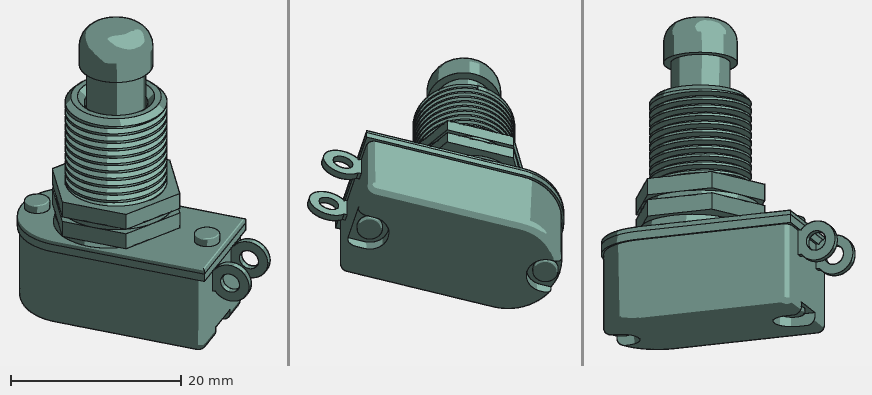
import cadquery as cq
import math

overall_height = 38.0

cover_width = 13.22
cover_left = -12.0
cover_right = 13.8
flange_overhang = 0.25
case_wall_height = 10.0
flange_thickness = 1.0
case_edge_radius = 1.0
cover_thickness = 0.6
cover_edge_radius = 0.23
case_top = case_wall_height + flange_thickness
cover_top = case_top + cover_thickness

rivet_positions = [-10.0, 11.5]
rivet_diameter = 3.0
rivet_head_height = 1.03
rivet_edge_radius = 0.2
rivet_tail_height = 0.6
recess_width = 4.5
recess_depth = 1.5

terminal_offset = 3.0
terminal_thickness = 0.8
terminal_eye_diameter = 4.8
terminal_hole_diameter = 2.4
terminal_neck_width = 3.0
terminal_neck_length = 3.8
terminal_tip = 18.15
terminal_eye_x = terminal_tip - terminal_eye_diameter / 2
terminal_eye_z = case_wall_height - terminal_neck_width / 2

boss_offset = -1.0
boss_height = 1.0
boss_base_diameter = 12.92
boss_top_diameter = 12.45
boss_top = cover_top + boss_height

hex_across_flats = 14.0
hex_across_corners = hex_across_flats / math.cos(math.pi / 6)
hex_thickness = 2.0
washer_face_thickness = 0.6
shoulder_top = boss_top + hex_thickness
nut_hex_bottom = shoulder_top + washer_face_thickness

bushing_diameter = 12.0
bushing_top = 28.65
bushing_chamfer = 0.7
bore_diameter = 7.5
bore_chamfer = 0.8
thread_pitch = bushing_diameter / 12
thread_depth = 0.6
thread_half_angle = math.radians(30)
thread_turns = 11
thread_end_gap = 0.87
thread_start_angle = 90
thread_overcut = 0.1

plunger_diameter = 7.0
cap_diameter = 8.7
cap_height = 5.0
cap_edge_radius = 2.5


def rounded_end_block(left, right, width, bottom, height):
    """Block with a half-round end at -X and a square end at +X."""
    radius = width / 2
    return (
        cq.Workplane("XY", origin=(0, 0, bottom))
        .moveTo(right, -radius)
        .lineTo(left + radius, -radius)
        .threePointArc((left, 0), (left + radius, radius))
        .lineTo(right, radius)
        .close()
        .extrude(height)
    )


def cylinder(diameter, bottom, height, x=0):
    return cq.Workplane("XY", origin=(x, 0, bottom)).circle(diameter / 2).extrude(height)


def hexagon(bottom):
    """Hexagonal block with two corners on the X axis."""
    return cq.Workplane("XY", origin=(0, 0, bottom)).polygon(6, hex_across_corners).extrude(hex_thickness)


def make_terminal(y):
    """Flat eye with a neck that reaches into the case."""
    plane = cq.Workplane("XZ", origin=(terminal_eye_x, y + terminal_thickness / 2, terminal_eye_z))
    eye = plane.circle(terminal_eye_diameter / 2).extrude(terminal_thickness)
    neck_plane = plane.center(-terminal_neck_length / 2, 0)
    neck = neck_plane.rect(terminal_neck_length, terminal_neck_width).extrude(terminal_thickness)
    hole = plane.circle(terminal_hole_diameter / 2).extrude(terminal_thickness)
    return eye.union(neck).cut(hole)


def make_rivet_recess(x, outer_end):
    """Recess under a rivet, round on the inner side and open through the end wall."""
    length = abs(outer_end - x)
    slot = cq.Workplane("XY").center((x + outer_end) / 2, 0).rect(length, recess_width).extrude(recess_depth)
    return slot.union(cylinder(recess_width, 0, recess_depth, x))


def make_case():
    """Case with its flange, rivets and solder terminals."""
    walls = rounded_end_block(
        cover_left + flange_overhang,
        cover_right - flange_overhang,
        cover_width - 2 * flange_overhang,
        0,
        case_wall_height,
    )
    walls = walls.edges("|Z and >X").fillet(case_edge_radius)
    walls = walls.faces("<Z").edges().fillet(case_edge_radius)
    flange = rounded_end_block(cover_left, cover_right, cover_width, case_wall_height, flange_thickness)
    case = walls.union(flange)

    for x, outer_end in zip(rivet_positions, [cover_left, cover_right]):
        case = case.cut(make_rivet_recess(x, outer_end))
        rivet_bottom = recess_depth - rivet_tail_height
        rivet_length = cover_top + rivet_head_height - rivet_bottom
        rivet = cylinder(rivet_diameter, rivet_bottom, rivet_length, x)
        case = case.union(rivet.faces("<Z or >Z").edges().fillet(rivet_edge_radius))

    for y in [-terminal_offset, terminal_offset]:
        case = case.union(make_terminal(y))
    return case


def make_thread_groove():
    """Right-hand helical V groove, cut into the bushing from outside."""
    thread_length = thread_turns * thread_pitch
    bottom = bushing_top - thread_end_gap - thread_length
    radius = bushing_diameter / 2
    outer_radius = radius + thread_overcut
    half_width = (thread_depth + thread_overcut) * math.tan(thread_half_angle)
    helix_start = cq.Vector(0, 0, bottom)
    path = cq.Wire.makeHelix(thread_pitch, thread_length, radius, center=helix_start)
    profile = cq.Workplane("XZ").polyline(
        [
            (radius - thread_depth, bottom),
            (outer_radius, bottom + half_width),
            (outer_radius, bottom - half_width),
        ]
    )
    return profile.close().sweep(cq.Workplane(path), isFrenet=True)


def make_bushing():
    """Threaded tube above the shoulder, turned so that the thread starts on the +Y side."""
    bushing = cylinder(bushing_diameter, shoulder_top, bushing_top - shoulder_top)
    bushing = bushing.faces(">Z").chamfer(bushing_chamfer).cut(make_thread_groove())
    return bushing.rotate((0, 0, 0), (0, 0, 1), thread_start_angle)


def make_cover():
    """Cover plate with its boss, hexagonal shoulder and threaded bushing."""
    plate = rounded_end_block(cover_left, cover_right, cover_width, case_top, cover_thickness)
    plate = plate.faces(">Z").edges().fillet(cover_edge_radius)
    for x in rivet_positions:
        plate = plate.cut(cylinder(rivet_diameter, case_top, cover_thickness, x))

    boss_bottom = cover_top - cover_edge_radius
    boss_draft = (boss_base_diameter - boss_top_diameter) / 2 / boss_height
    boss = (
        cq.Workplane("XY", origin=(boss_offset, 0, boss_bottom))
        .circle(boss_base_diameter / 2 + cover_edge_radius * boss_draft)
        .workplane(offset=boss_top - boss_bottom)
        .circle(boss_top_diameter / 2)
        .loft()
    )
    bore = cylinder(bore_diameter, case_top, bushing_top - case_top)
    countersink = cq.Workplane(
        cq.Solid.makeCone(
            bore_diameter / 2,
            bore_diameter / 2 + bore_chamfer,
            bore_chamfer,
            pnt=cq.Vector(0, 0, bushing_top - bore_chamfer),
        )
    )
    return plate.union(boss).union(hexagon(boss_top)).union(make_bushing()).cut(bore).cut(countersink)


def make_nut():
    """Hexagonal nut with a round washer face below it."""
    washer_face = cylinder(hex_across_flats, shoulder_top, washer_face_thickness)
    hole = cylinder(bushing_diameter, shoulder_top, washer_face_thickness + hex_thickness)
    return washer_face.union(hexagon(nut_hex_bottom)).cut(hole)


def make_plunger():
    """Plunger standing on the case, with a domed cap."""
    cap_bottom = overall_height - cap_height
    cap = cylinder(cap_diameter, cap_bottom, cap_height)
    cap = cap.faces(">Z").edges().fillet(cap_edge_radius)
    return cap.union(cylinder(plunger_diameter, case_top, cap_bottom - case_top))


case = make_case()
cover = make_cover()
nut = make_nut()
plunger = make_plunger()

bodies = [case, cover, nut, plunger]
result = cq.Compound.makeCompound([solid for body in bodies for solid in body.solids().vals()])